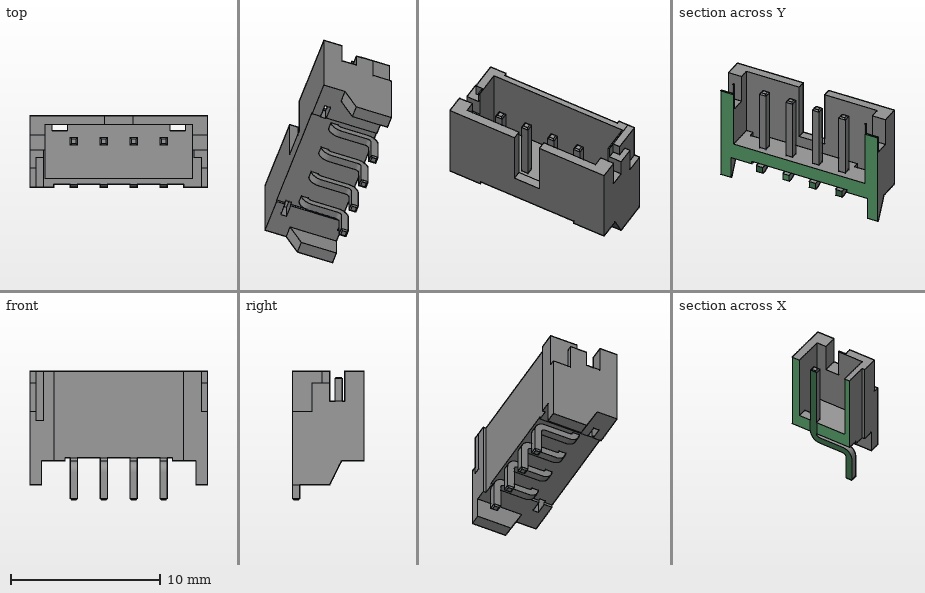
import cadquery as cq
import math


length = 11.9
depth = 4.8
body_height = 6.0
leg_height = 7.6
half_length = length / 2
long_wall = 0.6
end_wall = 1.0
cavity_depth = 4.8

front_recess_depth = 0.2
front_recess_margin = 1.61
relief_height = 0.2
relief_margin = 2.36
key_notch_width = 1.92
key_notch_depth = 4.0
window_margin = 1.5
window_length = 1.01
window_width = 0.4

leg_thickness = 0.8
leg_slope_start = 1.5
leg_slope_end = 2.3
end_slot_back = 1.3
end_slot_width = 1.0
end_slot_depth = 2.0
cheek_thickness = 0.4
cheek_drop = 0.8
cheek_front_drop = 2.7
cheek_front_depth = 1.3
slot_front = depth - end_slot_back - end_slot_width

tab_thickness = 0.5
tab_width = 1.99
tab_height = 3.3
tab_outer = half_length - cheek_thickness
tab_inner = tab_outer - tab_thickness

pin_count = 4
pin_pitch = 2.0
pin_size = 0.5
pin_top = 0.4
pin_tail = 8.6
pin_back_offset = 1.7
bend_start = 5.75
bend_radius = pin_size
tip_chamfer = 0.1
pin_y = depth - pin_back_offset
tail_y = pin_size / 2
run_z = -bend_start - bend_radius
pin_positions = [(i - (pin_count - 1) / 2) * pin_pitch for i in range(pin_count)]


def block(x_range, y_range, z_range):
    """Box between two limits on each axis."""
    return cq.Workplane("XY").box(
        x_range[1] - x_range[0],
        y_range[1] - y_range[0],
        z_range[1] - z_range[0],
        centered=False,
    ).translate((x_range[0], y_range[0], z_range[0]))


def end_leg():
    """Plate at the +X end that reaches below the body, with a sloped back edge."""
    outline = [
        (0, 0),
        (depth, 0),
        (depth, -body_height),
        (depth - leg_slope_start, -body_height),
        (depth - leg_slope_end, -leg_height),
        (0, -leg_height),
    ]
    plate = cq.Workplane("YZ").polyline(outline).close().extrude(leg_thickness)
    return plate.translate((half_length - leg_thickness, 0, 0))


def end_cuts():
    """Everything cut away at the +X end of the housing."""
    slot_back = depth - end_slot_back
    cavity_end = half_length - end_wall
    slot = block((cavity_end, half_length), (slot_front, slot_back), (-end_slot_depth, 0))
    shoulder = block((tab_inner, half_length), (tab_width, slot_front), (-cheek_drop, 0))
    cheek = block((tab_outer, half_length), (0, tab_width), (-cheek_drop, 0))
    cheek_front = block((tab_outer, half_length), (0, cheek_front_depth), (-cheek_front_drop, 0))
    window_end = half_length - window_margin
    window_back = depth - long_wall
    window = block(
        (window_end - window_length, window_end),
        (window_back - window_width, window_back),
        (-body_height, -cavity_depth),
    )
    return [slot, shoulder, cheek, cheek_front, window]


def make_housing():
    """Shroud with its end legs, before the pin holes and the tab recess are cut."""
    body = block((-half_length, half_length), (0, depth), (-body_height, 0))
    leg = end_leg()
    body = body.union(leg).union(leg.mirror("YZ"))

    cavity_half = half_length - end_wall
    cavity = block((-cavity_half, cavity_half), (long_wall, depth - long_wall), (-cavity_depth, 0))
    recess_half = half_length - front_recess_margin
    front_recess = block((-recess_half, recess_half), (0, front_recess_depth), (-body_height, 0))
    relief_half = half_length - relief_margin
    relief = block((-relief_half, relief_half), (0, depth), (-body_height, relief_height - body_height))
    notch_half = key_notch_width / 2
    key_notch = block((-notch_half, notch_half), (depth - long_wall, depth), (-key_notch_depth, 0))
    for cutter in (cavity, front_recess, relief, key_notch):
        body = body.cut(cutter)

    for cutter in end_cuts():
        body = body.cut(cutter).cut(cutter.mirror("YZ"))
    return body


def make_pin(x):
    """Square pin: upright contact, bend to the front, then bend down into the tail."""
    diagonal = bend_radius * math.sqrt(0.5)
    upper_centre = (pin_y - bend_radius, -bend_start)
    lower_centre = (tail_y + bend_radius, run_z - bend_radius)
    path = (
        cq.Workplane("YZ")
        .moveTo(pin_y, -pin_top)
        .lineTo(pin_y, -bend_start)
        .threePointArc(
            (upper_centre[0] + diagonal, upper_centre[1] - diagonal),
            (upper_centre[0], run_z),
        )
        .lineTo(lower_centre[0], run_z)
        .threePointArc(
            (lower_centre[0] - diagonal, lower_centre[1] + diagonal),
            (tail_y, lower_centre[1]),
        )
        .lineTo(tail_y, -pin_tail)
    )
    pin = cq.Workplane("XY", origin=(0, pin_y, -pin_top)).rect(pin_size, pin_size).sweep(path)
    pin = pin.faces(">Z or <Z").chamfer(tip_chamfer)
    return pin.translate((x, 0, 0))


def make_tab():
    """Flat tab set into the front of the -X end wall."""
    return block((-tab_outer, -tab_inner), (0, tab_width), (-tab_height, 0))


pins = [make_pin(x) for x in pin_positions]
tab = make_tab()
housing = make_housing().cut(tab)
for pin in pins:
    housing = housing.cut(pin)

bodies = [housing, tab, *pins]
result = cq.Compound.makeCompound([body.solids().val() for body in bodies])